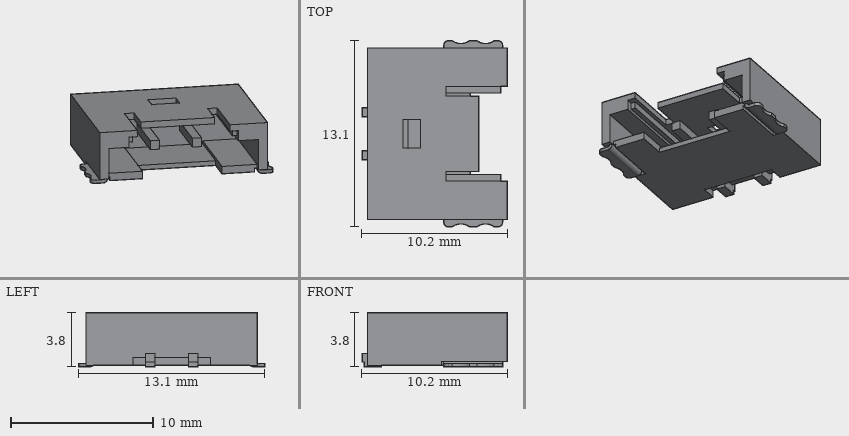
import cadquery as cq


body_length = 9.82
body_half_width = 6.025
body_bottom = 0.1
body_top = 3.8
back_wall = 2.84
roof_thickness = 0.46
roof_underside = body_top - roof_thickness

tongue_end = 7.825
tongue_half_width = 2.65
slit_start = 5.52
arm_inner_y = 3.33
window_start = 2.5
window_length = 1.23
window_width = 2.0

shoulder_inner_y = 3.92
shoulder_bottom = 2.6
rail_inner_y = 3.59
rail_bottom = 2.85
ledge_inner_y = 2.855
ledge_top = 0.65
ledge_end = 9.36
floor_top = 0.45
floor_end = 7.22

back_notch_depth = 1.2
back_notch_width = 5.44
back_notch_top = 0.65

pin_offset = 1.51
pin_width = 0.66
pin_back = -0.38
pin_top = 0.94
pin_step_z = 0.325
pin_step_depth = 0.14
pin_foot_end = 0.99
contact_bottom = 1.55
contact_top = 2.2

tab_start = 5.35
tab_length = 4.15
tab_outer_y = 6.54
tab_thickness = 0.25
tab_corner = 0.33
tab_crest_end = 0.6
tab_crest_width = 0.53
tab_dip_depth = 0.2
tab_flat_width = 0.8
tab_recess_start = 5.2
tab_recess_top = 0.37
tab_recess_inner_y = 5.2

bend_y = tab_outer_y - tab_flat_width
wall_inner_y = bend_y - tab_recess_top


def box(x0, x1, y0, y1, z0, z1):
    """Axis-aligned block between the given limits."""
    return cq.Workplane("XY").box(x1 - x0, y1 - y0, z1 - z0, centered=False).translate((x0, y0, z0))


def both_sides(shape):
    """The shape together with its mirror image across Y=0."""
    return shape.union(shape.mirror("XZ"))


def cavity():
    """Open-mouthed space under the roof, narrowed by shoulders, rails and ledges."""
    space = box(back_wall, body_length, -wall_inner_y, wall_inner_y, body_bottom, roof_underside)
    shoulder = box(back_wall, body_length, shoulder_inner_y, wall_inner_y, shoulder_bottom, roof_underside)
    rail = box(back_wall, ledge_end, rail_inner_y, shoulder_inner_y, rail_bottom, roof_underside)
    ledge = box(back_wall, ledge_end, ledge_inner_y, wall_inner_y, body_bottom, ledge_top)
    floor = box(back_wall, floor_end, -ledge_inner_y, ledge_inner_y, body_bottom, floor_top)
    return space.cut(both_sides(shoulder.union(rail).union(ledge))).cut(floor)


def roof_openings():
    """Window, the two slits beside the tongue and the gap in front of it."""
    half_window = window_width / 2
    window = box(window_start, window_start + window_length, -half_window, half_window,
                 roof_underside, body_top)
    slit = box(slit_start, body_length, tongue_half_width, arm_inner_y, roof_underside, body_top)
    gap = box(tongue_end, body_length, -arm_inner_y, arm_inner_y, roof_underside, body_top)
    return window.union(both_sides(slit)).union(gap)


def underside_recesses():
    """Notch below the back wall for the terminals and recesses for the solder tabs."""
    half_notch = back_notch_width / 2
    notch = box(0, back_notch_depth, -half_notch, half_notch, body_bottom, back_notch_top)
    tab_recess = box(tab_recess_start, body_length, tab_recess_inner_y, body_half_width,
                     body_bottom, tab_recess_top)
    return notch.union(both_sides(tab_recess))


def housing():
    block = box(0, body_length, -body_half_width, body_half_width, body_bottom, body_top)
    return block.cut(cavity()).cut(roof_openings()).cut(underside_recesses())


def terminal():
    """Stepped solder foot at the back and the contact bar inside the cavity (+Y side)."""
    y0 = pin_offset - pin_width / 2
    y1 = pin_offset + pin_width / 2
    foot = box(pin_back + pin_step_depth, pin_foot_end, y0, y1, 0, pin_top)
    head = box(pin_back, 0, y0, y1, pin_step_z, pin_top)
    contact = box(back_wall, floor_end, y0, y1, contact_bottom, contact_top)
    return foot.union(head).union(contact)


def tab_plate():
    """Flat part of the +Y tab: rounded corners and an outer edge with two round dips."""
    tab_end = tab_start + tab_length
    tab_middle = tab_start + tab_length / 2
    dip_starts = (tab_start + tab_crest_end, tab_middle + tab_crest_width / 2)
    dip_ends = (tab_middle - tab_crest_width / 2, tab_end - tab_crest_end)
    corner_inset = tab_corner * (1 - 0.5 ** 0.5)
    valley_y = tab_outer_y - tab_dip_depth

    outline = (
        cq.Workplane("XY")
        .moveTo(tab_start, bend_y)
        .lineTo(tab_start, tab_outer_y - tab_corner)
        .threePointArc((tab_start + corner_inset, tab_outer_y - corner_inset),
                       (tab_start + tab_corner, tab_outer_y))
    )
    for dip_start, dip_end in zip(dip_starts, dip_ends):
        valley_x = (dip_start + dip_end) / 2
        outline = (
            outline.lineTo(dip_start, tab_outer_y)
            .threePointArc((valley_x, valley_y), (dip_end, tab_outer_y))
        )
    outline = (
        outline.lineTo(tab_end - tab_corner, tab_outer_y)
        .threePointArc((tab_end - corner_inset, tab_outer_y - corner_inset),
                       (tab_end, tab_outer_y - tab_corner))
        .lineTo(tab_end, bend_y)
        .close()
    )
    return outline.extrude(tab_thickness)


def tab_bend():
    """Quarter-round bend that carries the +Y tab up to the side wall."""
    outer_radius = tab_recess_top
    inner_radius = tab_recess_top - tab_thickness
    tube = (
        cq.Workplane("YZ", origin=(tab_start, bend_y, tab_recess_top))
        .circle(outer_radius)
        .circle(inner_radius)
        .extrude(tab_length)
    )
    quarter = box(tab_start, tab_start + tab_length, wall_inner_y, bend_y, 0, tab_recess_top)
    return tube.intersect(quarter)


result = (
    housing()
    .union(both_sides(terminal()))
    .union(both_sides(tab_plate().union(tab_bend())))
)